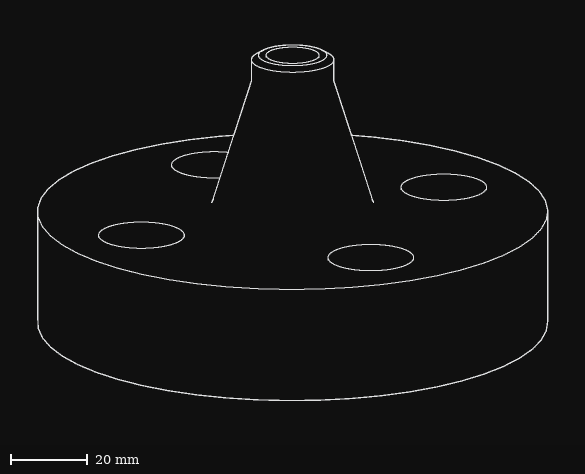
import cadquery as cq

flange_diameter = 133.3
flange_thickness = 30.5

face_diameter = 35.2
face_height = 6.1

bolt_count = 4
bolt_circle_diameter = 88.9
bolt_hole_diameter = 22.4

overall_height = 79.5
hub_base_diameter = 43.5
neck_diameter = 21.6
neck_length = 7.2
bevel_width = 1.9
bevel_height = 1.2
hub_fillet = 2.9
bore_diameter = 13.9

flange_radius = flange_diameter / 2
face_radius = face_diameter / 2
hub_base_radius = hub_base_diameter / 2
neck_radius = neck_diameter / 2
top_z = overall_height - face_height
cone_top_z = top_z - neck_length


def make_body():
    """Revolve the outer half profile about Z, then round the foot of the cone."""
    profile = (
        cq.Workplane("XZ")
        .moveTo(0, -face_height)
        .lineTo(face_radius, -face_height)
        .lineTo(face_radius, 0)
        .lineTo(flange_radius, 0)
        .lineTo(flange_radius, flange_thickness)
        .lineTo(hub_base_radius, flange_thickness)
        .lineTo(neck_radius, cone_top_z)
        .lineTo(neck_radius, top_z - bevel_height)
        .lineTo(neck_radius - bevel_width, top_z)
        .lineTo(0, top_z)
        .close()
    )
    body = profile.revolve(360, (0, 0, 0), (0, 1, 0))
    flange_top = body.faces("+Z").faces("<Z")
    smallest_edge = cq.selectors.RadiusNthSelector(0)
    return flange_top.edges(smallest_edge).fillet(hub_fillet)


def make_bore():
    """Straight bore through the full height."""
    return (
        cq.Workplane("XY", origin=(0, 0, -face_height))
        .circle(bore_diameter / 2)
        .extrude(overall_height)
    )


def make_bolt_holes():
    """Ring of holes through the disc, on the X and Y axes."""
    return (
        cq.Workplane("XY")
        .polarArray(bolt_circle_diameter / 2, 0, 360, bolt_count)
        .circle(bolt_hole_diameter / 2)
        .extrude(flange_thickness)
    )


result = make_body().cut(make_bore()).cut(make_bolt_holes())